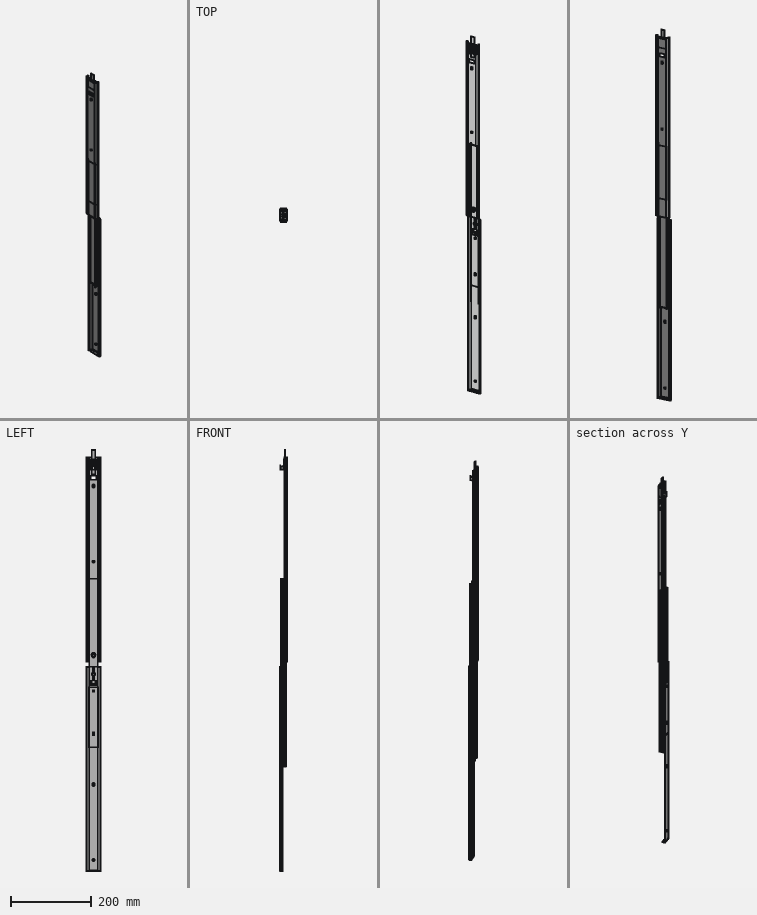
import cadquery as cq


SHEET = 1.2
HALF_DEPTH = 9.6
RAIL_HALF_WIDTH = 17.65
RAIL_LENGTH = 508.0
WEB_HALF_WIDTH = 11.0
SHOULDER_DROP = 2.7
CORNER_CHAMFER = 0.45
MOUTH_X = 1.6
LIP_WIDTH = 3.2
OUTER_RAIL_BOTTOM = 521.0
END_BEVEL_LENGTH = 2.6
END_BEVEL_DEPTH = 1.0
END_STOP_THICKNESS = 1.2

ROUND_HOLE = 4.6
SLOT_LENGTH = 7.5
OUTER_SLOTS = [957.5]
OUTER_ROUND_HOLES = [769.5]
DRAWER_SLOTS = [216.0, 342.0]
DRAWER_ROUND_HOLES = [28.5, 448.0]
WINDOW_Z = 978.0
WINDOW_WIDTH = 14.0
WINDOW_HEIGHT = 9.0
CROSS_SLOT_Z = 490.0
CROSS_SLOT_LENGTH = 30.0
CROSS_SLOT_WIDTH = 4.0
CROSS_ARM_LENGTH = 9.5
CROSS_ARM_WIDTH = 4.5
BRIDGE_OPENING_BOTTOM = 463.0
BRIDGE_OPENING_HEIGHT = 10.0
BRIDGE_HEIGHT = 6.5
BRIDGE_HALF_WIDTH = 10.0
BRIDGE_VALLEY_Y = 7.9
BRIDGE_CREST_Y = 4.5
BRIDGE_DEPTH = 1.7

BEAM_BOTTOM = 260.5
BEAM_TOP = 727.0
BEAM_HALF_DEPTH = 7.0
BEAM_WEB = 2.4
BEAM_FLANGE = 1.0
TRACK_X = 5.0
TRACK_RADIUS = 2.3
TRACK_DEPTH = 0.4
KEYHOLE_Z = 538.0
KEYHOLE_RECESS = 10.0
KEYHOLE_RECESS_DEPTH = 0.8
KEYHOLE_HOLE = 5.0
KEYHOLE_DROP = 4.5

CAGE_SHEET = 0.6
CAGE_HALF_WIDTH = 12.2
CAGE_MOUTH_X = 3.4
CAGE_LENGTH = 150.0
CAGE_END_GAP = 50.0
WEB_CLEARANCE = 0.7

STRAP_WIDTH = 9.6
STRAP_THICKNESS = 1.0
STRAP_X = 3.3
STRAP_TOP = 1047.2
STRAP_BOTTOM = 987.0
CATCH_HALF_WIDTH = 10.5
CATCH_FACE_X = 0.4
CATCH_TOP = 1024.0
CATCH_BOTTOM = 998.0
FINGER_WIDTH = 5.0
FINGER_TIP_X = -8.0
FINGER_ROOT_TOP = 1012.0
FINGER_SEAT_Z = 1006.0
FINGER_TIP_TOP = 1009.0
FINGER_TIP_THICKNESS = 1.2
FINGER_ROOT_DEPTH = 2.4
CATCH_GROOVE_COUNT = 4
CATCH_GROOVE_HEIGHT = 2.5
CATCH_GROOVE_DEPTH = 0.8

WEB_INNER_X = HALF_DEPTH - SHEET


def block(x_low, x_high, y_half, z_low, z_high):
    """A box centred on Y = 0."""
    size = (x_high - x_low, 2 * y_half, z_high - z_low)
    return cq.Workplane("XY").box(*size, centered=(False, True, False)).translate((x_low, 0, z_low))


def through_slot(z, length, width, x_low, x_high, angle=0):
    """Round-ended cutter along X; it lies along Z at 90 degrees and along Y at 0."""
    sketch = cq.Workplane("YZ").workplane(offset=x_low).center(0, z)
    return sketch.slot2D(length, width, angle).extrude(x_high - x_low)


def round_cutter(z, diameter, x_low, x_high):
    sketch = cq.Workplane("YZ").workplane(offset=x_low).center(0, z)
    return sketch.circle(diameter / 2).extrude(x_high - x_low)


def rail_channel(bottom):
    """Rail with its back at +X, sloped shoulders and returned lips."""
    shoulder_x = HALF_DEPTH - SHOULDER_DROP
    flange_inner_y = RAIL_HALF_WIDTH - SHEET
    lip_y = RAIL_HALF_WIDTH - LIP_WIDTH
    lip_top_x = MOUTH_X + SHEET
    half_outline = [
        (HALF_DEPTH, WEB_HALF_WIDTH),
        (shoulder_x, RAIL_HALF_WIDTH - CORNER_CHAMFER),
        (shoulder_x - CORNER_CHAMFER, RAIL_HALF_WIDTH),
        (MOUTH_X, RAIL_HALF_WIDTH),
        (MOUTH_X, lip_y),
        (lip_top_x, lip_y),
        (lip_top_x, flange_inner_y),
        (shoulder_x - SHEET, flange_inner_y),
        (WEB_INNER_X, WEB_HALF_WIDTH),
    ]
    mirrored = [(x, -y) for x, y in reversed(half_outline)]
    sketch = cq.Workplane("XY").workplane(offset=bottom)
    return sketch.polyline(half_outline + mirrored).close().extrude(RAIL_LENGTH)


def cut_mounting_holes(rail, slots, round_holes, x_low, x_high):
    for z in slots:
        rail = rail.cut(through_slot(z, SLOT_LENGTH, ROUND_HOLE, x_low, x_high, 90))
    for z in round_holes:
        rail = rail.cut(round_cutter(z, ROUND_HOLE, x_low, x_high))
    return rail


def end_bevel(back_x, z):
    """Wedge that bevels the lower end of a member on its back face."""
    direction = 1 if back_x > 0 else -1
    points = [
        (back_x - direction * END_BEVEL_DEPTH, z),
        (back_x, z),
        (back_x, z + END_BEVEL_LENGTH),
    ]
    sketch = cq.Workplane("XZ").workplane(offset=-RAIL_HALF_WIDTH)
    return sketch.polyline(points).close().extrude(2 * RAIL_HALF_WIDTH)


def make_outer_rail():
    rail = rail_channel(OUTER_RAIL_BOTTOM)
    rail = cut_mounting_holes(rail, OUTER_SLOTS, OUTER_ROUND_HOLES, 0, HALF_DEPTH)
    window_low = WINDOW_Z - WINDOW_HEIGHT / 2
    return rail.cut(block(0, HALF_DEPTH, WINDOW_WIDTH / 2, window_low, window_low + WINDOW_HEIGHT))


def make_bridge():
    """Corrugated strip pressed out of the drawer rail's back."""
    crest_x = -HALF_DEPTH
    valley_x = crest_x + BRIDGE_DEPTH
    face = [
        (crest_x, BRIDGE_HALF_WIDTH),
        (valley_x, BRIDGE_VALLEY_Y),
        (crest_x, BRIDGE_CREST_Y),
        (crest_x, -BRIDGE_CREST_Y),
        (valley_x, -BRIDGE_VALLEY_Y),
        (crest_x, -BRIDGE_HALF_WIDTH),
    ]
    rear = [(x + SHEET, y) for x, y in reversed(face)]
    opening_top = BRIDGE_OPENING_BOTTOM + BRIDGE_OPENING_HEIGHT
    sketch = cq.Workplane("XY").workplane(offset=opening_top - BRIDGE_HEIGHT)
    return sketch.polyline(face + rear).close().extrude(BRIDGE_HEIGHT)


def make_drawer_rail():
    rail = rail_channel(0).mirror("YZ")
    rail = cut_mounting_holes(rail, DRAWER_SLOTS, DRAWER_ROUND_HOLES, -HALF_DEPTH, 0)
    rail = rail.cut(through_slot(CROSS_SLOT_Z, CROSS_SLOT_LENGTH, CROSS_SLOT_WIDTH, -HALF_DEPTH, 0, 90))
    rail = rail.cut(through_slot(CROSS_SLOT_Z, CROSS_ARM_LENGTH, CROSS_ARM_WIDTH, -HALF_DEPTH, 0))
    opening_top = BRIDGE_OPENING_BOTTOM + BRIDGE_OPENING_HEIGHT
    bridge_opening = block(-HALF_DEPTH, 0, BRIDGE_HALF_WIDTH, BRIDGE_OPENING_BOTTOM, opening_top)
    rail = rail.cut(bridge_opening).union(make_bridge())
    end_stop = block(-WEB_INNER_X, -MOUTH_X, WEB_HALF_WIDTH, 0, END_STOP_THICKNESS)
    return rail.union(end_stop).cut(end_bevel(-HALF_DEPTH, 0))


def make_beam():
    """H-section beam with ball tracks along the outside of its flanges."""
    beam = block(-BEAM_HALF_DEPTH, BEAM_HALF_DEPTH, WEB_HALF_WIDTH, BEAM_BOTTOM, BEAM_TOP)
    pocket_half_width = WEB_HALF_WIDTH - BEAM_FLANGE
    track_centre_y = WEB_HALF_WIDTH - TRACK_DEPTH + TRACK_RADIUS
    for side in (-1, 1):
        inner, outer = sorted((side * BEAM_WEB / 2, side * BEAM_HALF_DEPTH))
        beam = beam.cut(block(inner, outer, pocket_half_width, BEAM_BOTTOM, BEAM_TOP))
        for edge in (-1, 1):
            track = cq.Workplane("XY").workplane(offset=BEAM_BOTTOM)
            track = track.center(side * TRACK_X, edge * track_centre_y).circle(TRACK_RADIUS)
            beam = beam.cut(track.extrude(BEAM_TOP - BEAM_BOTTOM))
    beam = beam.cut(end_bevel(BEAM_HALF_DEPTH, BEAM_BOTTOM))

    web_face = -BEAM_WEB / 2
    beam = beam.cut(round_cutter(KEYHOLE_Z, KEYHOLE_RECESS, web_face, web_face + KEYHOLE_RECESS_DEPTH))
    slot_length = KEYHOLE_DROP + KEYHOLE_HOLE
    slot_z = KEYHOLE_Z - KEYHOLE_DROP / 2
    return beam.cut(through_slot(slot_z, slot_length, KEYHOLE_HOLE, web_face, -web_face, 90))


def make_cage(bottom):
    """Thin channel between a rail and the beam, with its back at +X."""
    back_x = WEB_INNER_X - WEB_CLEARANCE
    cage = block(CAGE_MOUTH_X, back_x, CAGE_HALF_WIDTH, bottom, bottom + CAGE_LENGTH)
    hollow = block(
        CAGE_MOUTH_X, back_x - CAGE_SHEET, CAGE_HALF_WIDTH - CAGE_SHEET, bottom, bottom + CAGE_LENGTH
    )
    return cage.cut(hollow)


def make_strap():
    return block(STRAP_X, STRAP_X + STRAP_THICKNESS, STRAP_WIDTH / 2, STRAP_BOTTOM, STRAP_TOP)


def make_catch(strap):
    """Block seated on the outer rail, with a hooked finger and a slot for the strap."""
    catch = block(CATCH_FACE_X, WEB_INNER_X, CATCH_HALF_WIDTH, CATCH_BOTTOM, CATCH_TOP)
    groove_pitch = (CATCH_TOP - CATCH_BOTTOM) / (CATCH_GROOVE_COUNT + 1)
    for index in range(CATCH_GROOVE_COUNT):
        low = CATCH_BOTTOM + (index + 1) * groove_pitch - CATCH_GROOVE_HEIGHT / 2
        catch = catch.cut(block(
            CATCH_FACE_X, CATCH_FACE_X + CATCH_GROOVE_DEPTH, CATCH_HALF_WIDTH, low, low + CATCH_GROOVE_HEIGHT
        ))
    root_x = CATCH_FACE_X + CATCH_GROOVE_DEPTH
    lip_x = FINGER_TIP_X + FINGER_TIP_THICKNESS
    finger_outline = [
        (root_x, CATCH_BOTTOM),
        (FINGER_TIP_X, CATCH_BOTTOM),
        (FINGER_TIP_X, FINGER_TIP_TOP),
        (lip_x, FINGER_SEAT_Z),
        (root_x - FINGER_ROOT_DEPTH, FINGER_SEAT_Z),
        (root_x, FINGER_ROOT_TOP),
    ]
    finger = cq.Workplane("XZ").workplane(offset=-FINGER_WIDTH / 2)
    finger = finger.polyline(finger_outline).close().extrude(FINGER_WIDTH)
    return catch.union(finger).cut(strap)


outer_rail = make_outer_rail()
drawer_rail = make_drawer_rail()
beam = make_beam()
outer_cage = make_cage(OUTER_RAIL_BOTTOM + CAGE_END_GAP)
drawer_cage = make_cage(RAIL_LENGTH - CAGE_END_GAP - CAGE_LENGTH).mirror("YZ")
strap = make_strap()
catch = make_catch(strap)

result = cq.Compound.makeCompound([
    outer_rail.val(),
    drawer_rail.val(),
    beam.val(),
    outer_cage.val(),
    drawer_cage.val(),
    strap.val(),
    catch.val(),
])